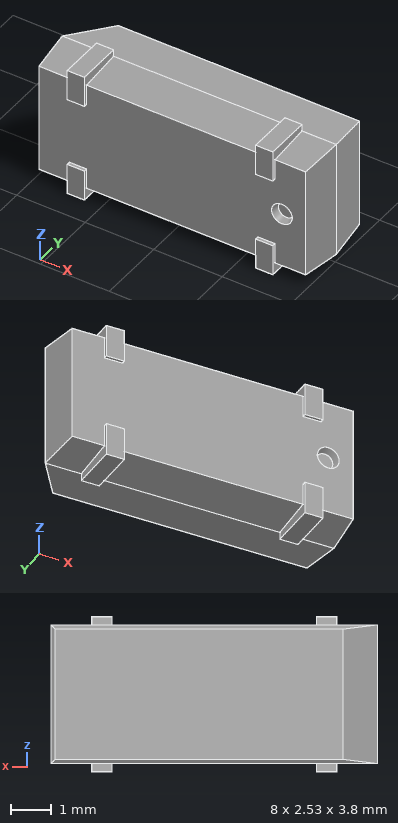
import cadquery as cq
import math

case_length = 8.0
case_width = 3.4
case_thickness = 2.43
half_thickness = case_thickness / 2
draft_angle = 5.0
bevel_angle = 35.0
draft_inset = half_thickness * math.tan(math.radians(draft_angle))
bevel_inset = half_thickness * math.tan(math.radians(bevel_angle))

marker_x = 3.2
marker_mouth_diameter = 0.6
marker_floor_diameter = 0.46
marker_depth = 0.2

overall_width = 3.8
lead_width = 0.5
lead_pitch = 5.5
foot_length = 0.9
foot_thickness = 0.1

front_y = -half_thickness
front_length = case_length - 2 * draft_inset
narrow_width = case_width - 2 * draft_inset


def case_half(end_y, end_length, end_center_x):
    """Block that tapers from the parting plane to a smaller rectangle at end_y."""
    return (
        cq.Workplane("XZ")
        .rect(case_length, case_width)
        .workplane(offset=-end_y)
        .center(end_center_x, 0)
        .rect(end_length, narrow_width)
        .loft(ruled=True, combine=True)
    )


def marker_recess():
    """Cone frustum that narrows from the front face into the case."""
    return (
        cq.Workplane("XZ", origin=(marker_x, front_y, 0))
        .circle(marker_mouth_diameter / 2)
        .workplane(offset=-marker_depth)
        .circle(marker_floor_diameter / 2)
        .loft(combine=True)
    )


def make_base():
    """Front half, drafted equally on all four sides."""
    return case_half(front_y, front_length, 0).cut(marker_recess())


def make_cover():
    """Rear half, drafted on three sides and steeply bevelled at the -X end."""
    cover_length = case_length - draft_inset - bevel_inset
    cover_center_x = (bevel_inset - draft_inset) / 2
    return case_half(half_thickness, cover_length, cover_center_x)


def make_lead(x, side):
    """L-shaped lead against the drafted side (side is +1 or -1 along Z) and front face of the base."""
    outer_z = side * overall_width / 2
    foot_end_z = outer_z - side * foot_length
    foot_y = front_y - foot_thickness
    profile = [
        (0, side * case_width / 2),
        (0, outer_z),
        (foot_y, outer_z),
        (foot_y, foot_end_z),
        (front_y, foot_end_z),
        (front_y, side * narrow_width / 2),
    ]
    return (
        cq.Workplane("YZ", origin=(x, 0, 0))
        .polyline(profile)
        .close()
        .extrude(lead_width / 2, both=True)
    )


base = make_base()
cover = make_cover()
leads = [
    make_lead(x, side)
    for x in (-lead_pitch / 2, lead_pitch / 2)
    for side in (-1, 1)
]

result = cq.Compound.makeCompound([base.val(), cover.val(), *[lead.val() for lead in leads]])